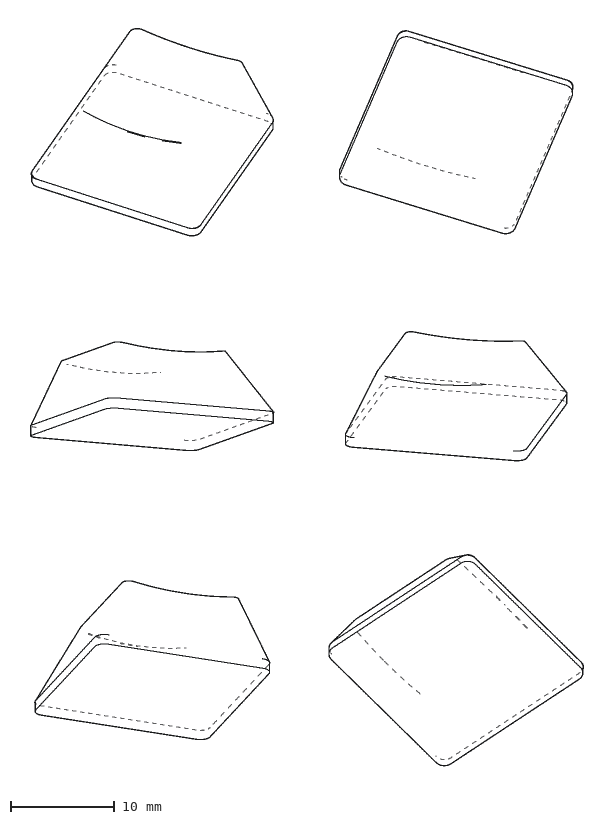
import cadquery as cq

base_size = 18.0
skirt_height = 1.0
corner_radius = 1.0

full_height = 7.5
side_inset = 3.02
back_inset = 0.55
front_inset = 4.5

dish_depth = 0.57
rim_radius = 0.1

half_base = base_size / 2
top_width = base_size - 2 * side_inset


def make_skirt():
    """Straight-walled foot with rounded vertical corners."""
    skirt = cq.Workplane("XY").rect(base_size, base_size).extrude(skirt_height)
    return skirt.edges("|Z").fillet(corner_radius)


def make_tapered_prism(plane, start_inset, end_inset):
    """Trapezoid on the given plane, swept both ways over the full base size."""
    outline = [
        (-half_base, skirt_height),
        (half_base, skirt_height),
        (half_base - end_inset, full_height),
        (-half_base + start_inset, full_height),
    ]
    return cq.Workplane(plane).polyline(outline).close().extrude(half_base, both=True)


def make_leaning_body():
    """Four planar walls rising from the skirt, with rounded corner edges."""
    side_walls = make_tapered_prism("XZ", side_inset, side_inset)
    end_walls = make_tapered_prism("YZ", front_inset, back_inset)
    body = side_walls.intersect(end_walls)
    return body.edges("not #Z").fillet(corner_radius)


def make_dish_cutter():
    """Cylinder along Y whose lowest line lies dish_depth below full height."""
    half_chord = top_width / 2
    dish_radius = (half_chord**2 + dish_depth**2) / (2 * dish_depth)
    axis_height = full_height - dish_depth + dish_radius
    return (
        cq.Workplane("XZ")
        .center(0, axis_height)
        .circle(dish_radius)
        .extrude(half_base, both=True)
    )


def round_rim(body):
    """Soften the edge where the dish meets the walls."""
    return body.faces(">Z").edges().fillet(rim_radius)


body = round_rim(make_leaning_body().cut(make_dish_cutter()))
result = make_skirt().union(body)